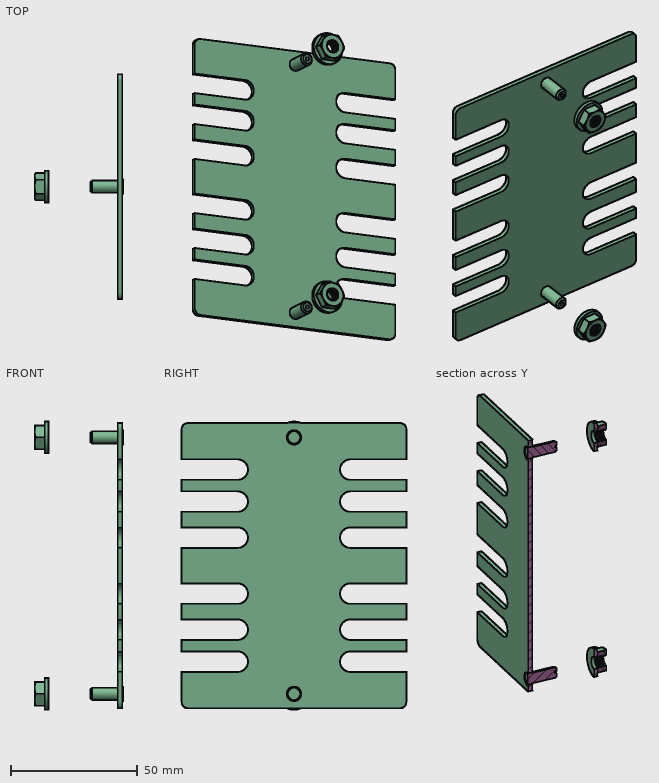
import cadquery as cq
import math

PLATE_WIDTH = 89.2
PLATE_HEIGHT = 113.0
PLATE_THICKNESS = 2.0
CORNER_RADIUS = 2.5

SLOT_WIDTH = 8.0
SLOT_END_Y = 18.3
SLOT_HEIGHTS = (11.1, 25.4, 38.1)

WASHER_DIAMETER = 12.7
OVERALL_HEIGHT = 114.3
FASTENER_Z = (OVERALL_HEIGHT - WASHER_DIAMETER) / 2

STUD_DIAMETER = 4.9
STUD_REACH = 10.7
TIP_FACE_DIAMETER = 3.7
TIP_BREAK_DIAMETER = 4.2
TIP_BREAK_LENGTH = 0.3
TIP_LENGTH = 0.8
DIMPLE_DIAMETER = 1.5
HEAD_DIAMETER = 5.7
HEAD_THICKNESS = 0.3

TIP_TO_NUT_FACE = 22.1
NUT_SIDES = 6
NUT_ACROSS_FLATS = 9.5
NUT_THICKNESS = 3.9
NUT_BEVEL_ANGLE = 30.0
COUNTERSINK_DIAMETER = 5.1
BORE_DIAMETER = 4.1
GROOVE_PITCH = 0.8
WASHER_THICKNESS = 1.6
WASHER_BORE_DIAMETER = COUNTERSINK_DIAMETER

STUD_TIP_X = -STUD_REACH
NUT_FACE_X = STUD_TIP_X - TIP_TO_NUT_FACE
NUT_BACK_X = NUT_FACE_X + NUT_THICKNESS


def cylinder(diameter, start_x, length, z):
    """Cylinder along +X at height z."""
    return cq.Workplane("YZ", origin=(start_x, 0, z)).circle(diameter / 2).extrude(length)


def revolved(profile, z):
    """Revolve a closed (x, radius) profile about the X-parallel axis at height z."""
    outline = cq.Workplane("XZ", origin=(0, 0, z)).polyline(profile).close()
    return outline.revolve(360, (0, 0, 0), (1, 0, 0))


def slot(side, z):
    """Cutter for one slot; side is +1 or -1 along Y."""
    radius = SLOT_WIDTH / 2
    centre_y = side * (SLOT_END_Y + radius)
    edge_y = side * PLATE_WIDTH / 2
    return (
        cq.Workplane("YZ")
        .moveTo(edge_y, z - radius)
        .lineTo(centre_y, z - radius)
        .threePointArc((side * SLOT_END_Y, z), (centre_y, z + radius))
        .lineTo(edge_y, z + radius)
        .close()
        .extrude(PLATE_THICKNESS)
    )


def make_plate():
    plate = (
        cq.Workplane("YZ")
        .rect(PLATE_WIDTH, PLATE_HEIGHT)
        .extrude(PLATE_THICKNESS)
        .edges("|X")
        .fillet(CORNER_RADIUS)
    )
    for height in SLOT_HEIGHTS:
        for z in (height, -height):
            for side in (1, -1):
                plate = plate.cut(slot(side, z))
    for z in (FASTENER_Z, -FASTENER_Z):
        plate = plate.cut(cylinder(STUD_DIAMETER, 0, PLATE_THICKNESS, z))
    return plate


def make_stud(z):
    radius = STUD_DIAMETER / 2
    head_radius = HEAD_DIAMETER / 2
    dimple_radius = DIMPLE_DIAMETER / 2
    back_x = PLATE_THICKNESS + HEAD_THICKNESS
    profile = [
        (STUD_TIP_X + dimple_radius, 0),
        (STUD_TIP_X, dimple_radius),
        (STUD_TIP_X, TIP_FACE_DIAMETER / 2),
        (STUD_TIP_X + TIP_BREAK_LENGTH, TIP_BREAK_DIAMETER / 2),
        (STUD_TIP_X + TIP_LENGTH, radius),
        (PLATE_THICKNESS, radius),
        (PLATE_THICKNESS, head_radius),
        (back_x, head_radius),
        (back_x, 0),
    ]
    return revolved(profile, z)


def threaded_bore(z):
    """Cutter for the nut bore: a 45 degree countersink followed by V-shaped thread grooves."""
    bore_radius = BORE_DIAMETER / 2
    groove_radius = STUD_DIAMETER / 2
    countersink_radius = COUNTERSINK_DIAMETER / 2
    thread_x = NUT_FACE_X + countersink_radius - bore_radius
    groove_count = math.floor((NUT_BACK_X - thread_x) / GROOVE_PITCH)
    profile = [
        (NUT_FACE_X, 0),
        (NUT_FACE_X, countersink_radius),
        (thread_x, bore_radius),
    ]
    for index in range(groove_count):
        groove_x = thread_x + index * GROOVE_PITCH
        profile.append((groove_x + GROOVE_PITCH / 2, groove_radius))
        profile.append((groove_x + GROOVE_PITCH, bore_radius))
    profile.append((NUT_BACK_X, bore_radius))
    profile.append((NUT_BACK_X, 0))
    return revolved(profile, z)


def make_nut(z):
    half_side_angle = math.radians(180 / NUT_SIDES)
    across_corners = NUT_ACROSS_FLATS / math.cos(half_side_angle)
    flat_radius = NUT_ACROSS_FLATS / 2
    corner_radius = across_corners / 2
    bevel_depth = (corner_radius - flat_radius) * math.tan(math.radians(NUT_BEVEL_ANGLE))
    hexagon = (
        cq.Workplane("YZ", origin=(NUT_FACE_X, 0, z))
        .polygon(NUT_SIDES, across_corners)
        .extrude(NUT_THICKNESS)
    )
    envelope = revolved(
        [
            (NUT_FACE_X, 0),
            (NUT_FACE_X, flat_radius),
            (NUT_FACE_X + bevel_depth, corner_radius),
            (NUT_BACK_X, corner_radius),
            (NUT_BACK_X, 0),
        ],
        z,
    )
    return hexagon.intersect(envelope).cut(threaded_bore(z))


def make_washer(z):
    disc = cylinder(WASHER_DIAMETER, NUT_BACK_X, WASHER_THICKNESS, z)
    return disc.cut(cylinder(WASHER_BORE_DIAMETER, NUT_BACK_X, WASHER_THICKNESS, z))


bodies = [make_plate().val()]
for fastener_z in (FASTENER_Z, -FASTENER_Z):
    bodies.append(make_stud(fastener_z).val())
    bodies.append(make_nut(fastener_z).val())
    bodies.append(make_washer(fastener_z).val())

result = cq.Compound.makeCompound(bodies)